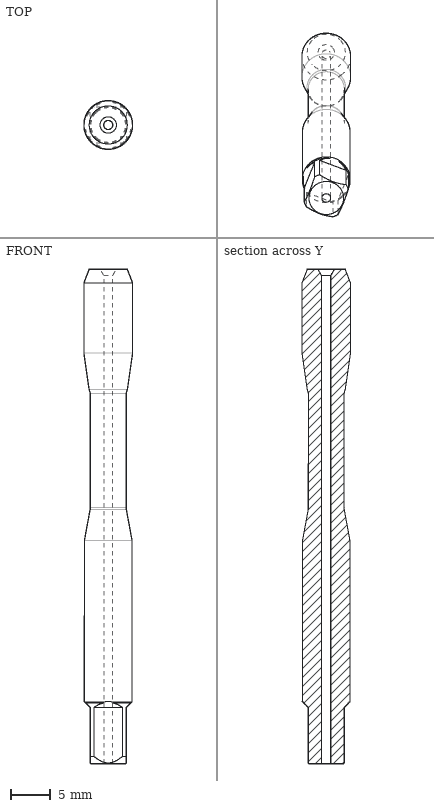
import cadquery as cq

length = 62.0
head_diameter = 6.15
head_tip_diameter = 4.8
head_cone_end_diameter = 4.85
neck_diameter = 4.5
shank_diameter = 6.0
drive_corner_diameter = 5.75
drive_end_diameter = 4.35
drive_end_chamfer_height = 0.9

tip_length = 1.75
head_end_depth = 10.55
head_cone_end_depth = 15.05
neck_start_depth = 15.55
neck_end_depth = 30.0
shank_start_depth = 34.05
shank_end_depth = 54.25
neck_fillet = 1.25

drive_width = 4.5
flat_height = 7.05

bore_diameter = 1.1
countersink_diameter = 2.05
countersink_angle = 60


def make_body():
    """Revolved body with a necked middle and chamfered ends."""
    head_radius = head_diameter / 2
    shank_radius = shank_diameter / 2
    neck_radius = neck_diameter / 2
    drive_radius = drive_corner_diameter / 2
    end_radius = drive_end_diameter / 2
    shoulder_chamfer = shank_radius - drive_radius
    shank_end = length - shank_end_depth

    return (
        cq.Workplane("XZ")
        .lineTo(end_radius, 0)
        .lineTo(drive_radius, drive_end_chamfer_height)
        .lineTo(drive_radius, shank_end - shoulder_chamfer)
        .lineTo(shank_radius, shank_end)
        .lineTo(shank_radius, length - shank_start_depth)
        .lineTo(neck_radius, length - neck_end_depth)
        .lineTo(neck_radius, length - neck_start_depth)
        .lineTo(head_cone_end_diameter / 2, length - head_cone_end_depth)
        .lineTo(head_radius, length - head_end_depth)
        .lineTo(head_radius, length - tip_length)
        .lineTo(head_tip_diameter / 2, length)
        .lineTo(0, length)
        .close()
        .revolve(360, (0, 0, 0), (0, 1, 0))
    )


def round_neck_end(body):
    """Blend the neck into the cone that widens to the shank."""
    corner = cq.selectors.NearestToPointSelector((0, 0, length - neck_end_depth))
    return body.edges("%CIRCLE").edges(corner).fillet(neck_fillet)


def make_flat_cutter():
    """Wedge that cuts one drive flat, running out at 45 degrees."""
    inner = drive_width / 2
    outer = head_diameter
    return (
        cq.Workplane("XZ")
        .moveTo(inner, 0)
        .lineTo(outer, 0)
        .lineTo(outer, flat_height + outer - inner)
        .lineTo(inner, flat_height)
        .close()
        .extrude(head_diameter, both=True)
    )


result = round_neck_end(make_body())

for side in range(4):
    result = result.cut(make_flat_cutter().rotate((0, 0, 0), (0, 0, 1), side * 90))

result = (
    result.faces(">Z")
    .workplane()
    .cskHole(bore_diameter, countersink_diameter, countersink_angle)
)